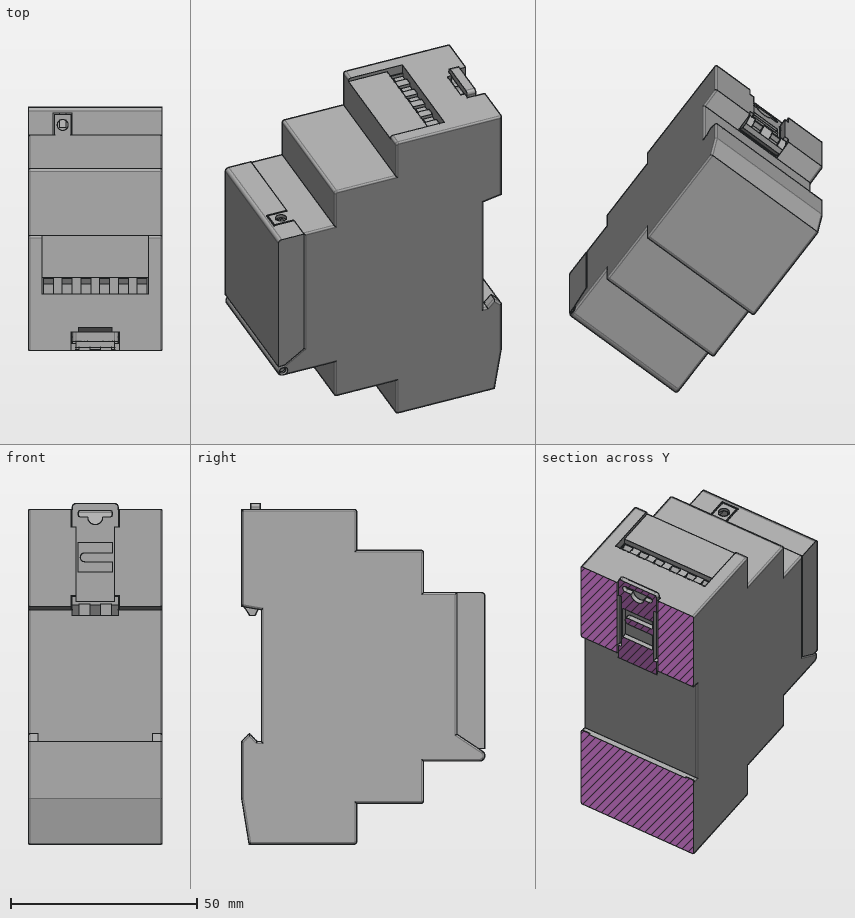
import cadquery as cq
import math

WIDTH = 36.0
MID_X = WIDTH / 2
HOUSING_HEIGHT = 89.9
BASE_DEPTH = 30.9
MIDDLE_DEPTH = 48.9
NECK_DEPTH = 57.8
FRONT_DEPTH = 65.3
MIDDLE_INSET = 11.0
NECK_INSET = 22.3
NECK_TOP = HOUSING_HEIGHT - NECK_INSET
STEP_FILLET = 0.7
SIDE_FILLET = 0.5

RAIL_DEPTH = 5.3
RAIL_FLOOR = 27.6
RAIL_ROOF_INNER = 62.95
RAIL_ROOF_OUTER = 63.9
EAR_WIDTH = 2.6
EAR_HEIGHT = 2.1
BEVEL_TOP = 12.35
BEVEL_DEPTH = 2.0

NOSE_RADIUS = 1.5
NOSE_Y = FRONT_DEPTH - NOSE_RADIUS
NOSE_Z = NECK_INSET + NOSE_RADIUS
SEAT_ANGLE = math.radians(33.5)
HINGE_HOLE_RADIUS = 0.8
HINGE_HOLE_DEPTH = 1.1
HINGE_HOLE_FLARE = 0.5

TERMINAL_WIDTH = 28.5
TERMINAL_X = (WIDTH - TERMINAL_WIDTH) / 2
SHELF_DROP = 1.0
SLOT_Y = 15.2
SLOT_END_Y = 19.6
SLOT_DROP = 2.65
POCKET_COUNT = 6
POCKET_PITCH = 5.0
POCKET_WIDTH = 2.65
POCKET_DROP = 0.9
POCKET_FLAT_END_Y = 17.9
POCKET_END_Y = 19.3
FIRST_POCKET_X = MID_X - POCKET_PITCH * (POCKET_COUNT - 1) / 2

TAB_X = 9.2
TAB_WIDTH = 4.4
TAB_END_Y = 63.4
TAB_THICKNESS = 1.0
TAB_GAP = 0.4
SEAL_HOLE_RADIUS = 1.5
SEAL_HOLE_Y = 60.6
SEAL_SLOT_WIDTH = 1.8
SEAL_SLOT_START_Y = 59.8

COVER_FILLET = 1.0
COVER_FOOT = 25.7

CLIP_TOP = 91.5
CLIP_WIDTH = 12.35
CLIP_FRONT = 2.5
CLIP_BACK = 5.0
CLIP_CORNER = 1.0
HEAD_BOTTOM = 85.2
SHAFT_WIDTH = 10.4
SHOULDER_TOP = 66.5
FOOT_TOP = 65.15
FOOT_FRONT = 0.86
FOOT_FACE_BOTTOM = 64.2
FOOT_LIP_Y = 0.4
TIP_Z = 61.4
TIP_FRONT_Y = 2.2
TIP_BACK_Y = 3.7
FOOT_BACK_Z = 64.2
FOOT_NOTCH_WIDTH = 2.8
FOOT_NOTCH_SPACING = 5.8
FOOT_NOTCH_TOP = 64.5

KEYHOLE_LENGTH = 9.3
KEYHOLE_RADIUS = 0.9
KEYHOLE_Z = 88.8
KEYHOLE_LOBE_RADIUS = 2.0
WINDOW_WIDTH = 9.3
WINDOW_BOTTOM = 73.1
WINDOW_TOP = 81.0
TONGUE_WIDTH = 2.4
SPRING_POCKET_HEIGHT = 2.7
SPRING_WALL = 1.2
TONGUE_GAP = 0.6

CHANNEL_CLEARANCE = 0.3
CHANNEL_WIDTH = CLIP_WIDTH + 2 * CHANNEL_CLEARANCE
LIP_THICKNESS = 1.9
LIP_BOTTOM = 66.8
RELIEF_WIDTH = 8.9
RELIEF_END_Y = 6.2
RELIEF_EDGE = 89.1


def block(x0, x1, y0, y1, z0, z1):
    """Axis-aligned block between two corners."""
    return cq.Workplane("XY").box(x1 - x0, y1 - y0, z1 - z0, centered=False).translate((x0, y0, z0))


def centred_block(x, width, y0, y1, z0, z1):
    """Block centred on x."""
    return block(x - width / 2, x + width / 2, y0, y1, z0, z1)


def prism(points, x0, x1):
    """Extrude a (Y, Z) outline from x0 to x1."""
    return cq.Workplane("YZ").polyline(points).close().extrude(x1 - x0).translate((x0, 0, 0))


def seat_points():
    """(Y, Z) of the upper end of the sloped seat and of its tangent point on the nose."""
    tangent_y = NOSE_Y + NOSE_RADIUS * math.sin(SEAT_ANGLE)
    tangent_z = NOSE_Z + NOSE_RADIUS * math.cos(SEAT_ANGLE)
    upper_z = tangent_z + (tangent_y - NECK_DEPTH) * math.tan(SEAT_ANGLE)
    return (NECK_DEPTH, upper_z), (tangent_y, tangent_z)


def housing_shell():
    """Stepped housing with its hinge nose, rail recess and rounded side edges."""
    seat_top, nose_tangent = seat_points()
    outline = (
        cq.Workplane("YZ")
        .moveTo(BEVEL_DEPTH, 0)
        .lineTo(BASE_DEPTH, 0)
        .lineTo(BASE_DEPTH, MIDDLE_INSET)
        .lineTo(MIDDLE_DEPTH, MIDDLE_INSET)
        .lineTo(MIDDLE_DEPTH, NECK_INSET)
        .lineTo(NOSE_Y, NECK_INSET)
        .threePointArc((NOSE_Y + NOSE_RADIUS, NOSE_Z), nose_tangent)
        .lineTo(*seat_top)
        .lineTo(NECK_DEPTH, NECK_TOP)
        .lineTo(MIDDLE_DEPTH, NECK_TOP)
        .lineTo(MIDDLE_DEPTH, HOUSING_HEIGHT - MIDDLE_INSET)
        .lineTo(BASE_DEPTH, HOUSING_HEIGHT - MIDDLE_INSET)
        .lineTo(BASE_DEPTH, HOUSING_HEIGHT)
        .lineTo(0, HOUSING_HEIGHT)
        .lineTo(0, RAIL_ROOF_OUTER)
        .lineTo(RAIL_DEPTH, RAIL_ROOF_INNER)
        .lineTo(RAIL_DEPTH, RAIL_FLOOR)
        .lineTo(2 * EAR_HEIGHT, RAIL_FLOOR)
        .lineTo(EAR_HEIGHT, RAIL_FLOOR + EAR_HEIGHT)
        .lineTo(0, RAIL_FLOOR)
        .lineTo(0, BEVEL_TOP)
        .close()
    )
    shell = outline.extrude(WIDTH)
    for depth, inset in ((BASE_DEPTH, 0), (MIDDLE_DEPTH, MIDDLE_INSET)):
        for z in (inset, HOUSING_HEIGHT - inset):
            shell = shell.edges(cq.NearestToPointSelector((MID_X, depth, z))).fillet(STEP_FILLET)
    shell = shell.faces("<X or >X").edges().fillet(SIDE_FILLET)
    ear_top = RAIL_FLOOR + EAR_HEIGHT
    between_ears = block(EAR_WIDTH, WIDTH - EAR_WIDTH, 0, 2 * EAR_HEIGHT, RAIL_FLOOR, ear_top)
    return shell.cut(between_ears)


def hinge_hole():
    """Blind hole with a flared mouth, on the -X side of the nose."""
    flare_radius = HINGE_HOLE_RADIUS + HINGE_HOLE_FLARE
    return (
        cq.Workplane("XY")
        .polyline([
            (0, 0),
            (0, flare_radius),
            (HINGE_HOLE_FLARE, HINGE_HOLE_RADIUS),
            (HINGE_HOLE_DEPTH, HINGE_HOLE_RADIUS),
            (HINGE_HOLE_DEPTH, 0),
        ])
        .close()
        .revolve(360, (0, 0, 0), (1, 0, 0))
        .translate((0, NOSE_Y, NOSE_Z))
    )


def terminal_recess():
    """Open shelf and terminal slot with a row of ramped pockets."""
    x_end = TERMINAL_X + TERMINAL_WIDTH
    slot_floor = HOUSING_HEIGHT - SLOT_DROP
    pocket_floor = slot_floor - POCKET_DROP
    recess = block(TERMINAL_X, x_end, SLOT_Y, BASE_DEPTH, HOUSING_HEIGHT - SHELF_DROP, HOUSING_HEIGHT)
    recess = recess.union(block(TERMINAL_X, x_end, SLOT_Y, SLOT_END_Y, slot_floor, HOUSING_HEIGHT))
    pocket_outline = [
        (SLOT_Y, slot_floor),
        (SLOT_Y, pocket_floor),
        (POCKET_FLAT_END_Y, pocket_floor),
        (POCKET_END_Y, slot_floor),
    ]
    for i in range(POCKET_COUNT):
        x = FIRST_POCKET_X + i * POCKET_PITCH
        recess = recess.union(prism(pocket_outline, x - POCKET_WIDTH / 2, x + POCKET_WIDTH / 2))
    return recess


def clip_channel():
    """Channel for the clip, narrower between the retaining strips, and the relief behind its head."""
    channel = centred_block(MID_X, CHANNEL_WIDTH, LIP_THICKNESS, CLIP_BACK, TIP_Z, HOUSING_HEIGHT)
    channel = channel.union(centred_block(MID_X, SHAFT_WIDTH, 0, LIP_THICKNESS, TIP_Z, HOUSING_HEIGHT))
    for z0, z1 in ((TIP_Z, LIP_BOTTOM), (HEAD_BOTTOM, HOUSING_HEIGHT)):
        channel = channel.union(centred_block(MID_X, CHANNEL_WIDTH, 0, LIP_THICKNESS, z0, z1))
    relief = prism(
        [
            (CLIP_BACK, HEAD_BOTTOM),
            (RELIEF_END_Y, RELIEF_EDGE),
            (RELIEF_END_Y, HOUSING_HEIGHT),
            (CLIP_BACK, HOUSING_HEIGHT),
        ],
        MID_X - RELIEF_WIDTH / 2,
        MID_X + RELIEF_WIDTH / 2,
    )
    return channel.union(relief)


def seal_tab():
    """Tab that reaches into the cover notch, pierced by the sealing hole."""
    tab = centred_block(TAB_X, TAB_WIDTH, MIDDLE_DEPTH, TAB_END_Y, NECK_TOP - TAB_THICKNESS, NECK_TOP)
    hole = (
        cq.Workplane("XY", origin=(TAB_X, SEAL_HOLE_Y, NECK_TOP - TAB_THICKNESS))
        .circle(SEAL_HOLE_RADIUS)
        .extrude(TAB_THICKNESS)
    )
    return tab.cut(hole)


def make_housing():
    shell = housing_shell().union(seal_tab())
    return shell.cut(hinge_hole()).cut(terminal_recess()).cut(clip_channel())


def make_cover():
    """Full-width front cover, seated on the neck, with the sealing notch and its slanted slot."""
    seat_top, _ = seat_points()
    foot_y = NECK_DEPTH + (seat_top[1] - COVER_FOOT) / math.tan(SEAT_ANGLE)
    cover = prism(
        [
            seat_top,
            (foot_y, COVER_FOOT),
            (FRONT_DEPTH, COVER_FOOT),
            (FRONT_DEPTH, NECK_TOP),
            (NECK_DEPTH, NECK_TOP),
        ],
        0,
        WIDTH,
    )
    cover = cover.edges(cq.NearestToPointSelector((MID_X, FRONT_DEPTH, NECK_TOP))).fillet(COVER_FILLET)
    notch_floor = NECK_TOP - TAB_THICKNESS
    notch_end = TAB_END_Y + TAB_GAP
    notch = centred_block(TAB_X, TAB_WIDTH + 2 * TAB_GAP, NECK_DEPTH, notch_end, notch_floor, NECK_TOP)
    slot_length = notch_end - SEAL_SLOT_START_Y
    slot = prism(
        [
            (SEAL_SLOT_START_Y, notch_floor),
            (notch_end, notch_floor - slot_length),
            (notch_end, notch_floor),
        ],
        TAB_X - SEAL_SLOT_WIDTH / 2,
        TAB_X + SEAL_SLOT_WIDTH / 2,
    )
    return cover.cut(notch).cut(slot)


def clip_plate():
    """Head, narrower shaft and hooked foot of the clip."""
    head = centred_block(MID_X, CLIP_WIDTH, CLIP_FRONT, CLIP_BACK, HEAD_BOTTOM, CLIP_TOP)
    head = head.edges("|Y and >Z").fillet(CLIP_CORNER)
    shaft = centred_block(MID_X, SHAFT_WIDTH, CLIP_FRONT, CLIP_BACK, FOOT_TOP, HEAD_BOTTOM)
    half_width = CLIP_WIDTH / 2
    foot = prism(
        [
            (CLIP_BACK, FOOT_TOP),
            (FOOT_FRONT, FOOT_TOP),
            (FOOT_FRONT, FOOT_FACE_BOTTOM),
            (FOOT_LIP_Y, FOOT_FACE_BOTTOM),
            (TIP_FRONT_Y, TIP_Z),
            (TIP_BACK_Y, TIP_Z),
            (CLIP_BACK, FOOT_BACK_Z),
        ],
        MID_X - half_width,
        MID_X + half_width,
    )
    clip = head.union(shaft).union(foot)
    shoulder_width = (CLIP_WIDTH - SHAFT_WIDTH) / 2
    for x in (MID_X - half_width, MID_X + half_width - shoulder_width):
        clip = clip.union(block(x, x + shoulder_width, FOOT_FRONT, CLIP_BACK, FOOT_TOP, SHOULDER_TOP))
    return clip


def clip_keyhole():
    """Rounded slot with a round lobe below it."""
    plane = cq.Workplane("XZ", origin=(MID_X, CLIP_FRONT, KEYHOLE_Z))
    thickness = CLIP_BACK - CLIP_FRONT
    slot = plane.slot2D(KEYHOLE_LENGTH, 2 * KEYHOLE_RADIUS).extrude(-thickness)
    lobe = plane.center(0, -KEYHOLE_RADIUS).circle(KEYHOLE_LOBE_RADIUS).extrude(-thickness)
    lower_half = centred_block(
        MID_X, 2 * KEYHOLE_LOBE_RADIUS, CLIP_FRONT, CLIP_BACK, HEAD_BOTTOM, KEYHOLE_Z)
    return slot.union(lobe.intersect(lower_half))


def clip_window():
    """Rectangular window that leaves a round-ended spring tongue."""
    window = centred_block(MID_X, WINDOW_WIDTH, CLIP_FRONT, CLIP_BACK, WINDOW_BOTTOM, WINDOW_TOP)
    tongue_z = (WINDOW_BOTTOM + WINDOW_TOP) / 2
    tongue_radius = TONGUE_WIDTH / 2
    root_x = MID_X + WINDOW_WIDTH / 2
    tip_x = MID_X - WINDOW_WIDTH / 2 + TONGUE_GAP + tongue_radius
    tongue = block(tip_x, root_x, CLIP_FRONT, CLIP_BACK, tongue_z - tongue_radius, tongue_z + tongue_radius)
    tip = (
        cq.Workplane("XZ", origin=(tip_x, CLIP_FRONT, tongue_z))
        .circle(tongue_radius)
        .extrude(CLIP_FRONT - CLIP_BACK)
    )
    hollow = centred_block(
        MID_X,
        WINDOW_WIDTH,
        CLIP_FRONT + SPRING_WALL,
        CLIP_BACK,
        WINDOW_BOTTOM - SPRING_POCKET_HEIGHT,
        WINDOW_BOTTOM,
    )
    return window.cut(tongue).cut(tip).union(hollow)


def make_clip():
    clip = clip_plate().cut(clip_keyhole()).cut(clip_window())
    for side in (-1, 1):
        x = MID_X + side * FOOT_NOTCH_SPACING / 2
        clip = clip.cut(centred_block(x, FOOT_NOTCH_WIDTH, 0, TIP_FRONT_Y, TIP_Z, FOOT_NOTCH_TOP))
    return clip


housing = make_housing()
cover = make_cover()
clip = make_clip()

result = cq.Compound.makeCompound([housing.solids().val(), cover.solids().val(), clip.solids().val()])